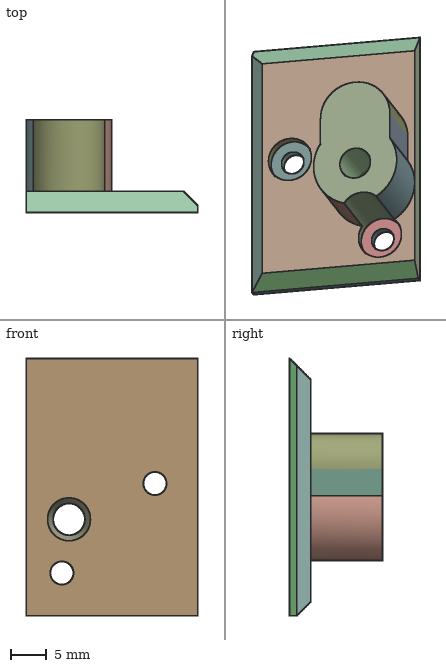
import cadquery as cq

PLATE_WIDTH = 24.0
PLATE_HEIGHT = 36.0
PLATE_THICKNESS = 3.0
BOTTOM_BEVEL = 2.0
SIDE_BEVEL = 2.0

BOSS_LENGTH = 10.0
LOWER_LOBE_RADIUS = 6.0
UPPER_LOBE_RADIUS = 5.0
BORE_X = LOWER_LOBE_RADIUS
BORE_Z = 13.5
LOBE_SPACING = 7.0
UPPER_LOBE_Z = BORE_Z + LOBE_SPACING

BORE_DIAMETER = 4.4
MOUTH_DIAMETER = 6.0
MOUTH_DEPTH = 4.0

SCREW_HOLE_DIAMETER = 3.2
LOWER_SCREW = (5.0, 6.0)
UPPER_SCREW = (18.0, 18.5)
SCREW_HEAD_DIAMETER = 6.2
HEAD_SEAT_Y = 1.5

TOTAL_DEPTH = PLATE_THICKNESS + BOSS_LENGTH


def cylinder(x, z, diameter, start, length):
    """Cylinder along +Y, starting at Y = start."""
    base = cq.Workplane("XZ", origin=(x, start, z))
    return base.circle(diameter / 2).extrude(-length)


def cone(x, z, start_diameter, end_diameter, start, length):
    """Truncated cone along +Y, starting at Y = start."""
    frustum = cq.Solid.makeCone(
        start_diameter / 2,
        end_diameter / 2,
        length,
        pnt=cq.Vector(x, start, z),
        dir=cq.Vector(0, 1, 0),
    )
    return cq.Workplane(obj=frustum)


def make_plate():
    side_outline = [
        (0, 0),
        (PLATE_THICKNESS - BOTTOM_BEVEL, 0),
        (PLATE_THICKNESS, BOTTOM_BEVEL),
        (PLATE_THICKNESS, PLATE_HEIGHT - PLATE_THICKNESS),
        (0, PLATE_HEIGHT),
    ]
    plate = cq.Workplane("YZ").polyline(side_outline).close().extrude(PLATE_WIDTH)
    return plate.edges(">Y and >X").chamfer(SIDE_BEVEL)


def make_boss():
    lower_lobe = cylinder(BORE_X, BORE_Z, 2 * LOWER_LOBE_RADIUS, PLATE_THICKNESS, BOSS_LENGTH)
    upper_lobe = cylinder(BORE_X, UPPER_LOBE_Z, 2 * UPPER_LOBE_RADIUS, PLATE_THICKNESS, BOSS_LENGTH)
    web = (
        cq.Workplane("XZ", origin=(BORE_X, PLATE_THICKNESS, BORE_Z + LOBE_SPACING / 2))
        .rect(2 * UPPER_LOBE_RADIUS, LOBE_SPACING)
        .extrude(-BOSS_LENGTH)
    )
    head_clearance = cylinder(*LOWER_SCREW, SCREW_HEAD_DIAMETER, PLATE_THICKNESS, BOSS_LENGTH)
    return lower_lobe.union(web).union(upper_lobe).cut(head_clearance)


def make_bore():
    mouth = cone(BORE_X, BORE_Z, MOUTH_DIAMETER, BORE_DIAMETER, 0, MOUTH_DEPTH)
    return cylinder(BORE_X, BORE_Z, BORE_DIAMETER, 0, TOTAL_DEPTH).union(mouth)


def make_screw_hole(x, z):
    head_seat = cylinder(x, z, SCREW_HEAD_DIAMETER, HEAD_SEAT_Y, PLATE_THICKNESS - HEAD_SEAT_Y)
    return cylinder(x, z, SCREW_HOLE_DIAMETER, 0, PLATE_THICKNESS).union(head_seat)


result = make_plate().union(make_boss()).cut(make_bore())
for screw_place in (LOWER_SCREW, UPPER_SCREW):
    result = result.cut(make_screw_hole(*screw_place))